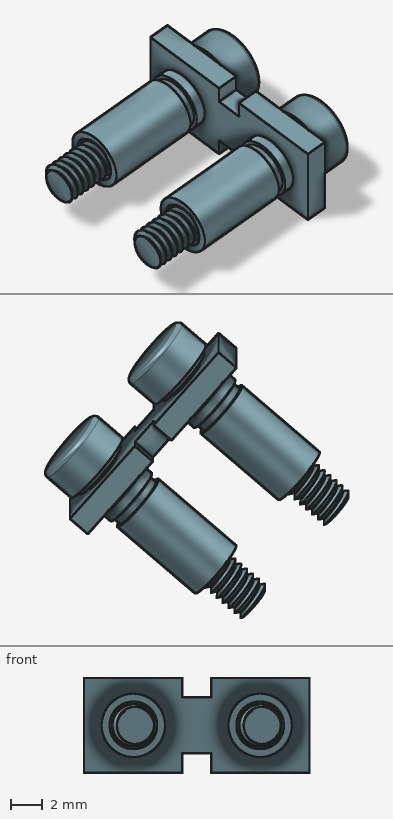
import cadquery as cq

PLATE_WIDTH = 14.25
PLATE_THICKNESS = 1.5
PLATE_HEIGHT = 6.0
NOTCH_WIDTH = 1.8
NOTCH_DEPTH = 1.22
SCREW_PITCH = 8.0
SCREW_XS = (-SCREW_PITCH / 2, SCREW_PITCH / 2)

SCREW_LENGTH = 15.5
HEAD_RADIUS = 2.5
HEAD_HEIGHT = 2.3
HEAD_FILLET = 0.3
SHOULDER_HEIGHT = 0.3
SHANK_RADIUS = 1.35
THREAD_LENGTH = 4.0
THREAD_PITCH = 0.5
CREST_RADIUS = 1.32
ROOT_RADIUS = 1.04
ROOT_FLAT = 0.02
RIDGE_SINK = 0.02

OUTER_RADIUS = 2.0
PLATE_GAP = 0.2
SLEEVE_BORE_RADIUS = 1.5
WASHER_THICKNESS = 0.7
NECK_LENGTH = 0.56
NECK_RADIUS = 1.75
BARREL_LENGTH = 6.51

PLATE_START = HEAD_HEIGHT + SHOULDER_HEIGHT + PLATE_GAP
PLATE_END = PLATE_START + PLATE_THICKNESS
WASHER_START = PLATE_END + PLATE_GAP
SLEEVE_START = WASHER_START + WASHER_THICKNESS
BARREL_START = SLEEVE_START + NECK_LENGTH
THREAD_START = SCREW_LENGTH - THREAD_LENGTH


def cylinder(radius, start, length):
    """Cylinder on the Z axis, beginning at the station `start`."""
    return cq.Workplane("XY").workplane(offset=start).circle(radius).extrude(length)


def tube(outer_radius, inner_radius, start, length):
    """Hollow cylinder on the Z axis, beginning at the station `start`."""
    return (
        cq.Workplane("XY").workplane(offset=start)
        .circle(outer_radius).circle(inner_radius).extrude(length)
    )


def place(body, x):
    """Turn a body's Z axis to -Y and move it to the screw position x."""
    return body.rotate((0, 0, 0), (1, 0, 0), 90).translate((x, 0, 0))


def make_plate():
    plate = cq.Workplane("XY").box(PLATE_WIDTH, PLATE_THICKNESS, PLATE_HEIGHT)
    notch = cq.Workplane("XY").box(NOTCH_WIDTH, PLATE_THICKNESS, 2 * NOTCH_DEPTH)
    for edge_z in (-PLATE_HEIGHT / 2, PLATE_HEIGHT / 2):
        plate = plate.cut(notch.translate((0, 0, edge_z)))
    plate = plate.translate((0, -(PLATE_START + PLATE_END) / 2, 0))
    for x in SCREW_XS:
        plate = plate.cut(place(cylinder(SHANK_RADIUS, PLATE_START, PLATE_THICKNESS), x))
    return plate


def make_thread():
    """Right-hand V thread whose crest meets the screw tip on the +X side."""
    turns = int(THREAD_LENGTH / THREAD_PITCH) + 3
    ridge_end = SCREW_LENGTH + THREAD_PITCH
    ridge_start = ridge_end - turns * THREAD_PITCH
    helix = cq.Wire.makeHelix(THREAD_PITCH, turns * THREAD_PITCH, ROOT_RADIUS)
    half_base = (THREAD_PITCH - ROOT_FLAT) / 2
    ridge = (
        cq.Workplane("XZ")
        .moveTo(ROOT_RADIUS - RIDGE_SINK, -half_base)
        .lineTo(CREST_RADIUS, 0)
        .lineTo(ROOT_RADIUS - RIDGE_SINK, half_base)
        .close()
        .sweep(cq.Workplane(helix), isFrenet=True)
        .translate((0, 0, ridge_start))
    )
    envelope = cylinder(SHANK_RADIUS, THREAD_START, THREAD_LENGTH)
    core = cylinder(ROOT_RADIUS, THREAD_START, THREAD_LENGTH)
    return core.union(ridge.intersect(envelope))


def make_screw():
    head = cylinder(HEAD_RADIUS, 0, HEAD_HEIGHT).faces("<Z").edges().fillet(HEAD_FILLET)
    shoulder = cylinder(OUTER_RADIUS, HEAD_HEIGHT, SHOULDER_HEIGHT)
    shank = cylinder(SHANK_RADIUS, HEAD_HEIGHT, THREAD_START - HEAD_HEIGHT)
    return head.union(shoulder).union(shank).union(make_thread())


def make_washer():
    return tube(OUTER_RADIUS, SHANK_RADIUS, WASHER_START, WASHER_THICKNESS)


def make_sleeve():
    neck = tube(NECK_RADIUS, SLEEVE_BORE_RADIUS, SLEEVE_START, NECK_LENGTH)
    barrel = tube(OUTER_RADIUS, SLEEVE_BORE_RADIUS, BARREL_START, BARREL_LENGTH)
    return neck.union(barrel)


plate = make_plate()
screw = make_screw()
washer = make_washer()
sleeve = make_sleeve()

bodies = [plate.solids().val()]
for screw_x in SCREW_XS:
    for body in (screw, washer, sleeve):
        bodies.append(place(body, screw_x).solids().val())

result = cq.Compound.makeCompound(bodies)